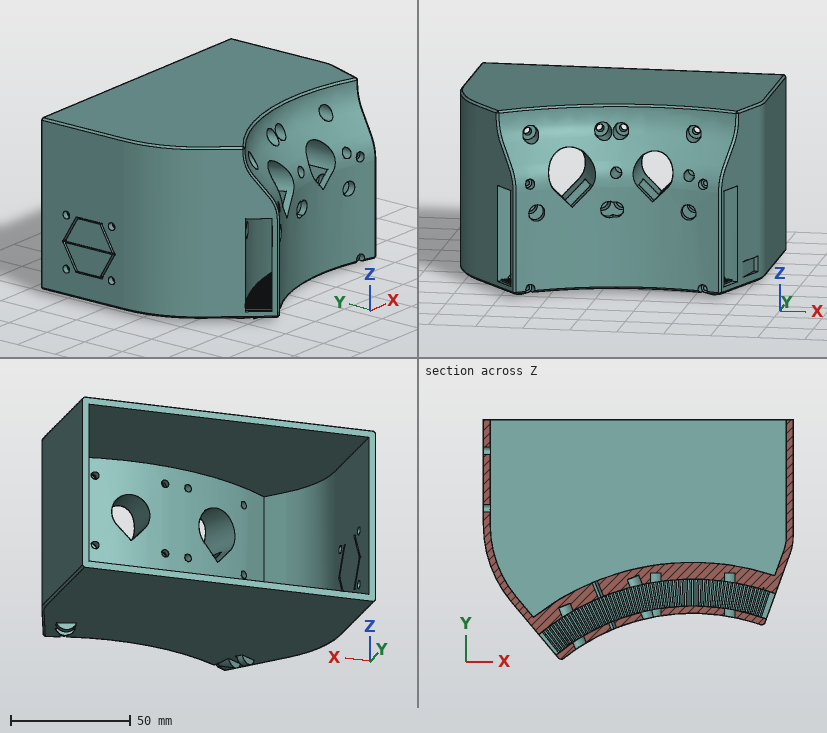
import cadquery as cq
import math


WIDTH = 129.8
HEIGHT = 75.9
BACK_Y = 168.1
LEFT_X = -87.7
RIGHT_X = LEFT_X + WIDTH
WALL = 3.0
CHAMFER = 0.9
LEFT_ANGLE = 40.0
RIGHT_ANGLE = -20.0
LEFT_STRAIGHT = 44.1
LEFT_BEND_RADIUS = 50.0
RIGHT_CORNER_Y = BACK_Y - 52.6
RIGHT_BEND_RADIUS = 19.5

FRONT_RADIUS = 87.0
FRONT_REAR_RADIUS = 108.4
SWEEP_ANGLE = 38.5
SWEEP_RADIUS = 16.6
SWEEP_START_Z = 43.7
SWEEP_STRAIGHT_HEIGHT = 9.0
CUT_MARGIN = 13.0

CHANNEL_INNER_RADIUS = 90.1
CHANNEL_OUTER_RADIUS = 101.2
CHANNEL_BOTTOM = WALL
CHANNEL_TOP = 44.1
RIB_WIDTH = 0.6
RIB_HEIGHT = 0.6
RIB_PITCH_ANGLE = 0.9

MOTOR_Z = 49.6
MOTOR_SCREW_PITCH = 31.0
MOTOR_SCREW_DIAMETER = 3.2
MOTOR_HEAD_DIAMETERS = (6.5, 7.0)
MOTOR_SEAT_RADIUS = 103.8
MOTOR_ANGLES = (0.0, 22.3)
MOTOR_OPENING_RADII = (8.5, 10.0)
PIN_DIAMETER = 4.5
PIN_END_RADIUS = 97.3

BOSS_ANGLES = (34.5, -14.5)
BOSS_ZS = (1.5, 46.6)
BOSS_DIAMETER = 9.0
BOSS_TIP_DIAMETER = 2.6
BOSS_TIP_RADIUS = 87.6
BOSS_BASE_RADIUS = 97.7
STUB_START_RADIUS = 101.9
STUB_END_RADIUS = 104.9
BOSS_HEAD_DIAMETER = 4.2
BOSS_SEAT_RADIUS = 90.2
BOSS_PILOT_DIAMETER = 2.2

FAN_Y = BACK_Y - 25.0
FAN_Z = 23.8
FAN_SIZE = 24.0
FAN_HOLE_DIAMETER = 3.4
GRILLE_SLIT = 1.0
GRILLE_GROOVE = 0.5
GRILLE_GROOVE_DEPTH = WALL / 2

NOTCH_START_X = RIGHT_X - 5.8
NOTCH_END_X = RIGHT_X - 1.5
NOTCH_DEPTH = 2.0
NOTCH_BOTTOM = 4.0
NOTCH_HEIGHT = 6.6


def right_wall_y(x):
    """Y of the slanted right wall at a given X."""
    return RIGHT_CORNER_Y - (RIGHT_X - x) / math.tan(math.radians(-RIGHT_ANGLE))


def body_outline():
    """Closed plan outline, running past the concave front that trims it."""
    angle = math.radians(LEFT_ANGLE)
    half = angle / 2
    bend_start_y = BACK_Y - LEFT_STRAIGHT
    bend_x = LEFT_X + LEFT_BEND_RADIUS * (1 - math.cos(angle))
    bend_y = bend_start_y - LEFT_BEND_RADIUS * math.sin(angle)
    mid_x = LEFT_X + LEFT_BEND_RADIUS * (1 - math.cos(half))
    mid_y = bend_start_y - LEFT_BEND_RADIUS * math.sin(half)
    end_y = FRONT_RADIUS / 2
    run = (bend_y - end_y) * math.tan(angle)

    right = math.radians(-RIGHT_ANGLE)
    tangent = RIGHT_BEND_RADIUS * math.tan(right / 2)
    arc_start = (RIGHT_X - tangent * math.sin(right), RIGHT_CORNER_Y - tangent * math.cos(right))
    arc_end_y = RIGHT_CORNER_Y + tangent
    arc_mid = (
        RIGHT_X - RIGHT_BEND_RADIUS * (1 - math.cos(right / 2)),
        arc_end_y - RIGHT_BEND_RADIUS * math.sin(right / 2),
    )
    right_end_x = RIGHT_X - (RIGHT_CORNER_Y - end_y) * math.tan(right)
    return (
        cq.Workplane("XY")
        .moveTo(LEFT_X, BACK_Y)
        .lineTo(LEFT_X, bend_start_y)
        .threePointArc((mid_x, mid_y), (bend_x, bend_y))
        .lineTo(bend_x + run, end_y)
        .lineTo(right_end_x, end_y)
        .lineTo(*arc_start)
        .threePointArc(arc_mid, (RIGHT_X, arc_end_y))
        .lineTo(RIGHT_X, BACK_Y)
        .close()
    )


def front_cutter():
    """Solid of revolution whose surface is the S-shaped concave front."""
    angle = math.radians(SWEEP_ANGLE)
    half = angle / 2
    arc_height = SWEEP_RADIUS * math.sin(angle)
    arc_depth = SWEEP_RADIUS * (1 - math.cos(angle))
    half_height = SWEEP_RADIUS * math.sin(half)
    half_depth = SWEEP_RADIUS * (1 - math.cos(half))
    line_start = (FRONT_RADIUS + arc_depth, SWEEP_START_Z + arc_height)
    line_end = (
        line_start[0] + SWEEP_STRAIGHT_HEIGHT * math.tan(angle),
        line_start[1] + SWEEP_STRAIGHT_HEIGHT,
    )
    top = (line_end[0] + arc_depth, line_end[1] + arc_height)
    return (
        cq.Workplane("XZ")
        .moveTo(0, -CUT_MARGIN)
        .lineTo(FRONT_RADIUS, -CUT_MARGIN)
        .lineTo(FRONT_RADIUS, SWEEP_START_Z)
        .threePointArc((FRONT_RADIUS + half_depth, SWEEP_START_Z + half_height), line_start)
        .lineTo(*line_end)
        .threePointArc((top[0] - half_depth, top[1] - half_height), top)
        .lineTo(top[0], HEIGHT + CUT_MARGIN)
        .lineTo(0, HEIGHT + CUT_MARGIN)
        .close()
        .revolve(360, (0, 0), (0, 1))
    )


def chamfered(solid):
    """Break the edges of the top, the bottom and both slanted walls, but not those at the back."""
    edges = solid.faces("<Z or >Z").edges("not >Y")
    for angle in (90 + LEFT_ANGLE, RIGHT_ANGLE - 90):
        outward = cq.Vector(-math.sin(math.radians(angle)), math.cos(math.radians(angle)), 0)
        wall = solid.faces(cq.selectors.DirectionMinMaxSelector(outward))
        edges = edges.add(wall.edges("not(>Y or >Z or <Z)"))
    return edges.chamfer(CHAMFER)


def cavity():
    """Inside of the housing, open at the back."""
    inside = body_outline().offset2D(-WALL).extrude(HEIGHT - 2 * WALL).translate((0, 0, WALL))
    back_opening = (
        cq.Workplane("XY")
        .box(WIDTH - 2 * WALL, 2 * WALL, HEIGHT - 2 * WALL, centered=(False, True, False))
        .translate((LEFT_X + WALL, BACK_Y - WALL, WALL))
    )
    front_wall = cq.Workplane("XY").circle(FRONT_REAR_RADIUS).extrude(HEIGHT)
    return inside.union(back_opening).cut(front_wall)


def channel():
    """Curved slot that runs behind the front lip and out through both side walls."""
    half_plane = cq.Workplane("XY").box(2 * WIDTH, 2 * BACK_Y, 2 * HEIGHT).translate((0, BACK_Y, 0))
    return (
        cq.Workplane("XY", origin=(0, 0, CHANNEL_BOTTOM))
        .circle(CHANNEL_OUTER_RADIUS)
        .circle(CHANNEL_INNER_RADIUS)
        .extrude(CHANNEL_TOP - CHANNEL_BOTTOM)
        .intersect(half_plane)
        .cut(floor_ribs())
    )


def floor_ribs():
    """Fine radial ribs on the channel floor, spread between the two side walls."""
    length = CHANNEL_OUTER_RADIUS - CHANNEL_INNER_RADIUS + 2 * RIB_WIDTH
    middle = (CHANNEL_OUTER_RADIUS + CHANNEL_INNER_RADIUS) / 2
    count = int((LEFT_ANGLE - RIGHT_ANGLE - 2 * RIB_PITCH_ANGLE) / RIB_PITCH_ANGLE)
    centre_angle = (LEFT_ANGLE + RIGHT_ANGLE) / 2
    first_angle = centre_angle - RIB_PITCH_ANGLE * (count - 1) / 2
    return (
        cq.Workplane("XY", origin=(0, 0, CHANNEL_BOTTOM))
        .polarArray(middle, 90 + first_angle, RIB_PITCH_ANGLE * (count - 1), count)
        .rect(length, RIB_WIDTH)
        .extrude(RIB_HEIGHT)
    )


def rod(diameter, start, end, x=0.0, z=0.0, end_diameter=None):
    """Rod or cone along +Y between two distances from the vertical axis."""
    last = diameter if end_diameter is None else end_diameter
    if last == diameter:
        solid = cq.Solid.makeCylinder(diameter / 2, end - start, cq.Vector(x, start, z), cq.Vector(0, 1, 0))
    else:
        solid = cq.Solid.makeCone(
            diameter / 2, last / 2, end - start, cq.Vector(x, start, z), cq.Vector(0, 1, 0)
        )
    return cq.Workplane(obj=solid)


def turned(shape, angle):
    """Shape rotated about the vertical axis."""
    return shape.rotate((0, 0, 0), (0, 0, 1), angle)


def motor_cutter(opening_radius, head_diameter):
    """Teardrop opening and four counterbored screw holes, facing +Y."""
    through_start = FRONT_RADIUS - CUT_MARGIN
    through_end = FRONT_REAR_RADIUS + CUT_MARGIN
    side = opening_radius * math.sqrt(0.5)
    cutter = rod(2 * opening_radius, through_start, through_end, z=MOTOR_Z).union(
        cq.Workplane("XZ", origin=(0, through_start, MOTOR_Z))
        .polyline([(0, 0), (-side, -side), (0, -2 * side), (side, -side)])
        .close()
        .extrude(through_start - through_end)
    )
    for x in (-MOTOR_SCREW_PITCH / 2, MOTOR_SCREW_PITCH / 2):
        for dz in (-MOTOR_SCREW_PITCH / 2, MOTOR_SCREW_PITCH / 2):
            z = MOTOR_Z + dz
            cutter = cutter.union(rod(MOTOR_SCREW_DIAMETER, through_start, through_end, x, z))
            cutter = cutter.union(rod(head_diameter, through_start, MOTOR_SEAT_RADIUS, x, z))
    return cutter


def fan_cutter():
    """Hexagonal grille with a cross groove and four screw holes, in the YZ plane at the left wall."""
    plane = cq.Workplane("YZ", origin=(LEFT_X, FAN_Y, FAN_Z))
    corner = FAN_SIZE / math.sqrt(3)
    half = FAN_SIZE / 2
    cutter = (
        plane.rect(FAN_SIZE, FAN_SIZE, forConstruction=True)
        .vertices()
        .circle(FAN_HOLE_DIAMETER / 2)
        .extrude(WALL)
    )
    inset = GRILLE_SLIT / math.cos(math.radians(30))
    for side_y in (-1, 1):
        for side_z in (-1, 1):
            slit = [
                (side_y * corner, 0),
                (side_y * corner / 2, side_z * half),
                (side_y * (corner / 2 - inset), side_z * half),
                (side_y * (corner - inset), 0),
            ]
            cutter = cutter.union(plane.polyline(slit).close().extrude(WALL))
    for z, length in ((-half, corner), (0, 2 * corner), (half, corner)):
        groove = plane.center(0, z).rect(length, GRILLE_GROOVE).extrude(GRILLE_GROOVE_DEPTH)
        cutter = cutter.union(groove)
    return cutter


def notch_cutter():
    """Ramp into the slanted right wall, ending in a step square to that wall."""
    angle = math.radians(-RIGHT_ANGLE)
    start = (NOTCH_START_X, right_wall_y(NOTCH_START_X))
    end = (NOTCH_END_X, right_wall_y(NOTCH_END_X))
    deep = (end[0] - NOTCH_DEPTH * math.cos(angle), end[1] + NOTCH_DEPTH * math.sin(angle))
    return (
        cq.Workplane("XY", origin=(0, 0, NOTCH_BOTTOM))
        .polyline([start, deep, end])
        .close()
        .extrude(NOTCH_HEIGHT)
    )


body = body_outline().extrude(HEIGHT).cut(front_cutter())
body = chamfered(body)
result = body.cut(cavity())

for angle in BOSS_ANGLES:
    for z in BOSS_ZS:
        cone = rod(BOSS_TIP_DIAMETER, BOSS_TIP_RADIUS, BOSS_BASE_RADIUS, z=z, end_diameter=BOSS_DIAMETER)
        recess = rod(BOSS_DIAMETER, CHANNEL_OUTER_RADIUS, STUB_START_RADIUS, z=z)
        stub = rod(BOSS_DIAMETER, STUB_START_RADIUS, STUB_END_RADIUS, z=z)
        head = rod(BOSS_HEAD_DIAMETER, FRONT_RADIUS - CUT_MARGIN, BOSS_SEAT_RADIUS, z=z)
        pilot = rod(BOSS_PILOT_DIAMETER, FRONT_RADIUS, STUB_END_RADIUS, z=z)
        result = result.union(turned(cone.union(stub), angle))
        result = result.cut(turned(recess.union(head).union(pilot), angle))

result = result.cut(channel())

for angle, radius, head in zip(MOTOR_ANGLES, MOTOR_OPENING_RADII, MOTOR_HEAD_DIAMETERS):
    result = result.cut(turned(motor_cutter(radius, head), angle))
for x in (-MOTOR_SCREW_PITCH / 2, MOTOR_SCREW_PITCH / 2):
    result = result.cut(rod(PIN_DIAMETER, FRONT_RADIUS - CUT_MARGIN, PIN_END_RADIUS, x, MOTOR_Z))

result = result.cut(fan_cutter()).cut(notch_cutter())